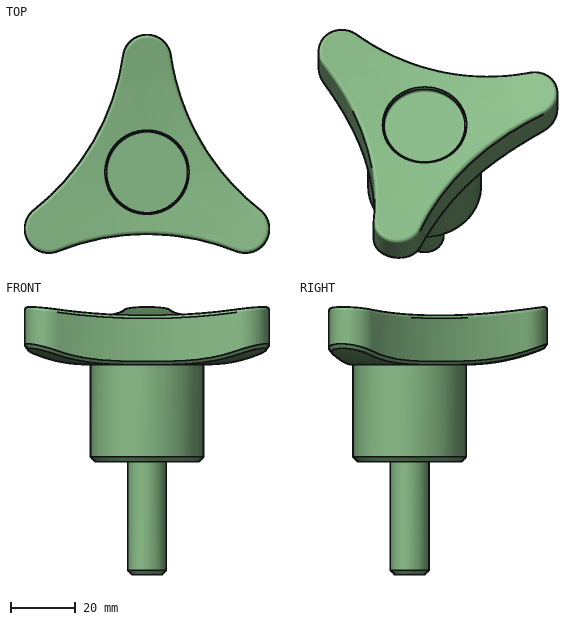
import cadquery as cq
import math

total_height = 82.8
stud_length = 34.95
hub_height = 30.0
hub_top = stud_length + hub_height

stud_diameter = 12.0
stud_chamfer = 1.5
hub_diameter = 35.0
hub_chamfer = 1.5

arm_count = 3
tip_radius = 15.0 / 2
head_width = 75.6
front_tip_angle = 30
tip_distance = (head_width / 2 - tip_radius) / math.cos(math.radians(front_tip_angle))
head_radius = tip_distance + tip_radius
waist_distance = 19.1
dish_depth = 3.4
tip_rounding_loss = 0.2
underside_rise = 5.5
top_rounding = 1.0
underside_chamfer = 1.0

recess_diameter = 25.0
recess_depth = 1.9
recess_rim_chamfer = 0.5
recess_floor_fillet = 0.5

dish_floor = total_height + tip_rounding_loss - dish_depth
dish_radius = (head_radius**2 + dish_depth**2) / (2 * dish_depth)


def dish(r):
    """Height of the dished top face at distance r from the axis."""
    return dish_floor + dish_radius - math.sqrt(dish_radius**2 - r**2)


def polar(radius, angle):
    return (radius * math.cos(math.radians(angle)), radius * math.sin(math.radians(angle)))


def turned(point, angle):
    """Rotate a plan point about the axis."""
    x, y = point
    c, s = math.cos(math.radians(angle)), math.sin(math.radians(angle))
    return (x * c - y * s, x * s + y * c)


def head_outline():
    """Plan of the head: round tips joined by tangent concave arcs."""
    half_pitch = 180 / arm_count
    along = tip_distance * math.cos(math.radians(half_pitch))
    across = tip_distance * math.sin(math.radians(half_pitch))
    gap = waist_distance - along
    side_radius = (across**2 + gap**2 - tip_radius**2) / (2 * (tip_radius - gap))
    center_distance = waist_distance + side_radius
    share = tip_radius / (tip_radius + side_radius)
    tangent_along = along + share * (center_distance - along)
    tangent_across = across * (1 - share)

    first_side = 90 + half_pitch
    pitch = 360 / arm_count
    outline = cq.Workplane("XY").moveTo(*turned((tangent_along, -tangent_across), first_side))
    for i in range(arm_count):
        side = first_side + i * pitch
        side_end = turned((tangent_along, tangent_across), side)
        next_start = turned((tangent_along, -tangent_across), side + pitch)
        outline = outline.threePointArc(polar(waist_distance, side), side_end)
        outline = outline.threePointArc(polar(head_radius, side + half_pitch), next_start)
    return outline.close()


def head_envelope():
    """Turned body with a dished top and an underside curving up from the hub."""
    hub_radius = hub_diameter / 2
    reach = head_radius + tip_radius
    run = head_radius - hub_radius
    belly_radius = (run**2 + underside_rise**2) / (2 * underside_rise)

    def belly(r):
        return hub_top + belly_radius - math.sqrt(belly_radius**2 - (r - hub_radius)**2)

    middle = (hub_radius + reach) / 2
    return (
        cq.Workplane("XZ")
        .moveTo(0, hub_top)
        .lineTo(hub_radius, hub_top)
        .threePointArc((middle, belly(middle)), (reach, belly(reach)))
        .lineTo(reach, dish(reach))
        .threePointArc((reach / 2, dish(reach / 2)), (0, dish_floor))
        .close()
        .revolve(360, (0, 0, 0), (0, 1, 0))
    )


def head():
    body = head_outline().extrude(2 * total_height).intersect(head_envelope())
    body = body.faces(">Z").edges().fillet(top_rounding)
    belly_edges = body.faces("%REVOLUTION").edges("not %CIRCLE")
    return belly_edges.chamfer(underside_chamfer)


def hub():
    return (
        cq.Workplane("XY").workplane(offset=stud_length)
        .circle(hub_diameter / 2).extrude(hub_height)
        .faces("<Z").chamfer(hub_chamfer)
    )


def stud():
    return (
        cq.Workplane("XY").circle(stud_diameter / 2).extrude(stud_length)
        .faces("<Z").chamfer(stud_chamfer)
    )


def recess():
    """Cutter for the recess: open upwards, with a bevelled rim and a rounded floor edge."""
    rim_radius = recess_diameter / 2 + recess_rim_chamfer
    rim_height = dish(rim_radius)
    floor_height = rim_height - recess_depth
    well = (
        cq.Workplane("XY").workplane(offset=floor_height)
        .circle(recess_diameter / 2).extrude(total_height - floor_height)
        .faces("<Z").edges().fillet(recess_floor_fillet)
    )
    bevel = (
        cq.Workplane("XY").workplane(offset=rim_height - recess_rim_chamfer)
        .circle(recess_diameter / 2)
        .workplane(offset=recess_rim_chamfer).circle(rim_radius).loft()
    )
    return well.union(bevel)


result = head().union(hub()).union(stud()).cut(recess())